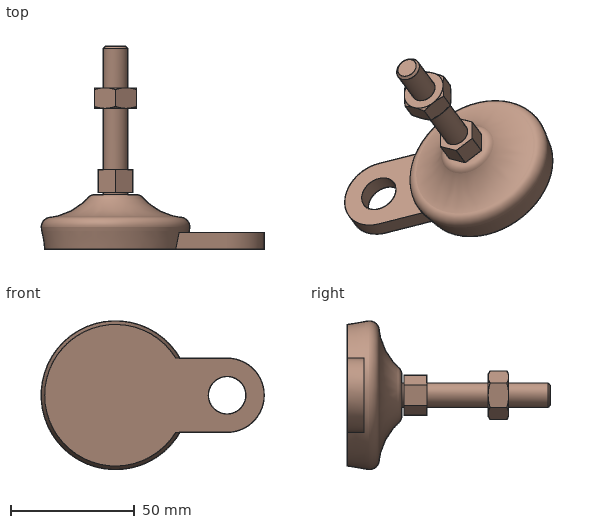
import cadquery as cq
import math

foot_radius = 60.0 / 2
sole_radius = 28.5
cone_top_y = 7.4
cone_top_radius = 29.8
rim_y = 8.9
shoulder_y = 13.05
shoulder_radius = 25.8
rim_bulge_radius = 28.8
rim_bulge_y = 11.9
flare_radius = 16.2
flare_y = 16.6
neck_y = 20.5
neck_radius = 11.4
crown_y = 22.1
crown_radius = 8.3
crown_bulge_radius = 10.1
crown_bulge_y = 21.7

tab_width = foot_radius
tab_thickness = 6.9
overall_length = 90
tab_length = overall_length - foot_radius - tab_width / 2
tab_hole_diameter = tab_width / 2

stud_diameter = 10.0
stud_end_y = 82.0
stud_chamfer = 1.0
base_hex_flats = 14.0
base_hex_start = 22.95
base_hex_end = 32.1
nut_flats = 17.0
nut_start = 56.9
nut_end = 65.2
nut_chamfer_angle = 30
hex_half_angle = math.radians(180 / 6)


def make_foot():
    """Revolved pad: tapered skirt, rounded rim, concave flare and rounded crown."""
    return (
        cq.Workplane("XY")
        .lineTo(sole_radius, 0)
        .lineTo(cone_top_radius, cone_top_y)
        .lineTo(foot_radius, rim_y)
        .threePointArc((rim_bulge_radius, rim_bulge_y), (shoulder_radius, shoulder_y))
        .threePointArc((flare_radius, flare_y), (neck_radius, neck_y))
        .threePointArc((crown_bulge_radius, crown_bulge_y), (crown_radius, crown_y))
        .lineTo(0, crown_y)
        .close()
        .revolve(360, (0, 0, 0), (0, 1, 0))
    )


def plane_at(y):
    """Plane square to the foot axis, facing +Y, with its local Y along +X."""
    return cq.Workplane(cq.Plane(origin=(0, y, 0), xDir=(0, 0, 1), normal=(0, 1, 0)))


def make_tab():
    """Flat tab from the foot axis to a rounded end."""
    bar = plane_at(0).center(0, tab_length / 2).rect(tab_width, tab_length).extrude(tab_thickness)
    rounded_end = plane_at(0).center(0, tab_length).circle(tab_width / 2).extrude(tab_thickness)
    return bar.union(rounded_end)


def make_hex(flats, start, end):
    """Hexagonal prism with two of its corners on the Z axis."""
    corner_diameter = flats / math.cos(hex_half_angle)
    return plane_at(start).polygon(6, corner_diameter).extrude(end - start)


def make_lock_nut():
    """Hexagon nut whose corners are cut back by a cone at both ends."""
    corner_radius = nut_flats / 2 / math.cos(hex_half_angle)
    chamfer_width = corner_radius - nut_flats / 2
    chamfer_height = chamfer_width * math.tan(math.radians(nut_chamfer_angle))
    envelope = (
        plane_at(nut_start)
        .circle(corner_radius)
        .extrude(nut_end - nut_start)
        .edges()
        .chamfer(chamfer_height, chamfer_width)
    )
    return make_hex(nut_flats, nut_start, nut_end).intersect(envelope)


def make_stud():
    """Round stud rising from inside the foot, chamfered at its free end."""
    return (
        plane_at(rim_y)
        .circle(stud_diameter / 2)
        .extrude(stud_end_y - rim_y)
        .faces(">Y")
        .chamfer(stud_chamfer)
    )


tab_hole = plane_at(0).center(0, tab_length).circle(tab_hole_diameter / 2).extrude(tab_thickness)

result = (
    make_foot()
    .union(make_tab())
    .union(make_stud())
    .union(make_hex(base_hex_flats, base_hex_start, base_hex_end))
    .union(make_lock_nut())
    .cut(tab_hole)
)